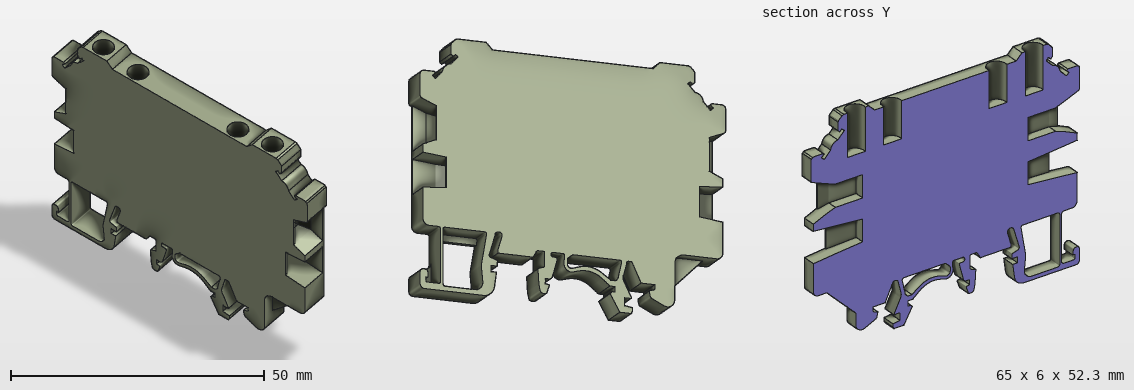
import cadquery as cq
import math


HALF_LENGTH = 32.5
HEIGHT = 52.31
THICKNESS = 6.0

SIDE_X = 31.9
TOP_Z = 50.9
SHOULDER_Z = 45.1
BOTTOM_Z = 13.3
CORE_Z = 10.7
CORNER_RADIUS = 1.3

HOLE_DIAMETER = 4.3
HOLE_OFFSETS = (12.7, 21.5)
HOLE_Y = 2.6
HOLE_DEPTH = 10.0

BACK_WALL = 0.5
ENTRY_END_X = 20.0
UPPER_RECESS_X = 29.0
UPPER_THROAT_X = 26.6
UPPER_MOUTH_Z = (39.2, 29.9)
UPPER_RECESS_Z = (38.05, 31.15)
UPPER_THROAT_Z = (37.15, 32.0)
LOWER_RECESS_X = 26.95
LOWER_MOUTH_Z = (28.2, 21.0)
LOWER_RECESS_Z = (27.75, 21.5)
LOWER_THROAT_Z = (27.15, 22.1)
FUNNEL_Y = (0.4, THICKNESS - BACK_WALL)
THROAT_Y = (0.85, 4.3)

FOOT_BOTTOM_Z = 0.2
FOOT_BAR = 1.0
WINDOW_BOTTOM_Z = FOOT_BOTTOM_Z + FOOT_BAR
WINDOW_RIGHT_X = -18.3
FOOT_WALL_OUTER_X = -28.2
FOOT_WALL_INNER_X = -27.6
LEDGE_Z = 11.9

HOOK_X = 21.65
HOOK_SHELF_Z = 6.5

WEB_THICKNESS = 1.0
WEB_OVERLAP = 0.3
RIGHT_GUSSET_Y = (THICKNESS - WEB_THICKNESS) / 2
RIGHT_GUSSET_LOW_Z = 6.5
RIGHT_GUSSET_END_X = 28.6


def rounded_wire(corners):
    """Closed wire in the XZ plane through corners (x, z) or (x, z, fillet radius)."""
    count = len(corners)
    runs = []
    for i, corner in enumerate(corners):
        point = cq.Vector(corner[0], 0, corner[1])
        if len(corner) < 3:
            runs.append((point,))
            continue
        radius = corner[2]
        before, after = corners[i - 1], corners[(i + 1) % count]
        to_before = (cq.Vector(before[0], 0, before[1]) - point).normalized()
        to_after = (cq.Vector(after[0], 0, after[1]) - point).normalized()
        half_angle = to_before.getAngle(to_after) / 2
        tangent = radius / math.tan(half_angle)
        middle = radius / math.sin(half_angle) - radius
        bisector = (to_before + to_after).normalized()
        runs.append((point + to_before * tangent, point + bisector * middle, point + to_after * tangent))

    edges = []
    for i, run in enumerate(runs):
        if len(run) == 3:
            edges.append(cq.Edge.makeThreePointArc(*run))
        edges.append(cq.Edge.makeLine(run[-1], runs[(i + 1) % count][0]))
    return cq.Wire.assembleEdges(edges)


def plate(corners, y_start=0.0, y_end=THICKNESS):
    """Plate of the given XZ outline between two Y positions."""
    solid = cq.Solid.extrudeLinear(rounded_wire(corners), [], cq.Vector(0, y_end - y_start, 0))
    return cq.Workplane("XY").newObject([solid.translate(cq.Vector(0, y_start, 0))])


SHOULDER = [
    (17.1, TOP_Z),
    (18.5, HEIGHT),
    (24.55, HEIGHT),
    (25.0, 52.15),
    (25.8, 51.3),
    (25.95, 51.0),
    (25.95, 49.05),
    (25.5, 48.6),
    (24.95, 49.05),
    (24.45, 48.6),
    (26.0, 47.0),
    (27.35, 46.85, 1.9),
    (27.75, 45.3),
    (29.25, 43.65),
    (29.85, 44.2),
    (29.2, 44.8),
    (29.55, SHOULDER_Z),
    (31.65, SHOULDER_Z),
    (32.1, 45.0),
    (32.4, 44.7),
    (HALF_LENGTH, 44.3),
    (HALF_LENGTH, 39.45, 0.6),
    (SIDE_X, UPPER_MOUTH_Z[0]),
]

LEFT_FOOT = [
    (-SIDE_X, BOTTOM_Z, CORNER_RADIUS),
    (FOOT_WALL_OUTER_X, BOTTOM_Z, 0.4),
    (FOOT_WALL_OUTER_X, 1.6, 0.4),
    (-31.3, 1.6, 0.3),
    (-31.3, 2.65),
    (-30.85, 2.65),
    (-30.85, 4.3, 0.75),
    (-HALF_LENGTH, 4.3, 0.75),
    (-HALF_LENGTH, FOOT_BOTTOM_Z, 0.9),
    (-16.95, FOOT_BOTTOM_Z, 2.4),
    (-16.25, 5.3),
    (-17.4, 5.3),
    (-17.4, 6.55),
    (-16.1, 6.55),
    (-16.1, 7.75, 0.2),
    (-17.95, 8.3, 0.5),
    (-16.35, 13.6, 0.65),
    (-14.85, 13.6, 0.65),
    (-15.9, 10.1),
]

LEFT_CLIP = [
    (-15.9, 9.25),
    (-8.5, 9.25),
    (-7.6, CORE_Z, 0.2),
    (-6.05, CORE_Z, 0.2),
    (-6.05, 7.55),
    (-7.45, 7.0, 0.2),
    (-7.25, 3.85),
    (-6.9, 2.05, 0.7),
    (-5.6, 2.05, 0.3),
    (-4.95, 3.95, 0.2),
    (-5.85, 4.1),
    (-5.85, 5.15),
    (-4.5, 5.15, 0.8),
    (-3.25, 9.75, 0.35),
    (-4.65, 9.75, 0.4),
    (-4.65, CORE_Z, 0.4),
]

RIGHT_CLIP = [
    (-1.8, CORE_Z, 0.3),
    (-2.0, 6.6, 1.5),
    (4.0, 8.3, 5.5),
    (7.85, 5.15),
    (8.95, 5.15),
    (8.95, 4.05),
    (8.35, 4.05),
    (7.9, 3.6),
    (9.95, 0.0),
    (12.4, 0.0),
    (12.7, 0.5),
    (12.7, 1.25),
    (11.0, 1.5),
    (11.0, 3.1),
    (12.55, 3.1, 0.15),
    (10.6, 7.0, 1.5),
    (11.55, CORE_Z, 0.4),
    (12.5, CORE_Z, 0.3),
]

RIGHT_HOOK = [
    (14.5, HOOK_SHELF_Z),
    (17.4, HOOK_SHELF_Z),
    (17.4, 5.5, 0.2),
    (16.2, 5.1, 0.2),
    (16.5, 3.7, 0.7),
    (HOOK_X, 1.35, 1.6),
    (HOOK_X, BOTTOM_Z, 2.0),
    (SIDE_X, BOTTOM_Z, CORNER_RADIUS),
]

FOOT_WINDOW = [
    (FOOT_WALL_INNER_X, BOTTOM_Z, 0.4),
    (WINDOW_RIGHT_X, BOTTOM_Z, 0.4),
    (-19.5, 6.3),
    (-19.0, WINDOW_BOTTOM_Z, 1.7),
    (FOOT_WALL_INNER_X, WINDOW_BOTTOM_Z, 0.4),
]

SPRING_SLOT = [
    (-1.2, 9.65, 0.8),
    (-0.05, CORE_Z),
    (10.45, CORE_Z, 0.4),
    (9.45, 6.35, 0.9),
    (8.1, 6.35),
    (3.9, 9.2, 5.5),
    (-1.1, 7.6, 0.8),
]


def housing():
    """Full-thickness outline with the foot window and the slot above the spring arm."""
    left_shoulder = [(-x, z, *radius) for x, z, *radius in SHOULDER]
    underside = LEFT_FOOT + LEFT_CLIP + RIGHT_CLIP + RIGHT_HOOK
    outline = left_shoulder + underside + SHOULDER[::-1]
    return plate(outline).cut(plate(FOOT_WINDOW)).cut(plate(SPRING_SLOT))


def webs():
    """Thin webs: the window ledge and left gusset at the back face, the right gusset at mid thickness."""
    ledge_left = FOOT_WALL_INNER_X - WEB_OVERLAP
    ledge_right = WINDOW_RIGHT_X + WEB_OVERLAP
    ledge_top = BOTTOM_Z + WEB_OVERLAP
    ledge = [
        (ledge_left, ledge_top),
        (ledge_right, ledge_top),
        (ledge_right, LEDGE_Z),
        (ledge_left, LEDGE_Z),
    ]
    wall_x = FOOT_WALL_OUTER_X + WEB_OVERLAP
    web_bottom = WINDOW_BOTTOM_Z - WEB_OVERLAP
    left_gusset = [
        (wall_x, 7.2),
        (FOOT_WALL_OUTER_X, 7.2),
        (FOOT_WALL_OUTER_X, 6.43, 1.1),
        (-31.7, 4.28),
        (-31.7, web_bottom),
        (wall_x, web_bottom),
    ]
    hook_inside = HOOK_X - WEB_OVERLAP
    right_gusset = [
        (hook_inside, RIGHT_GUSSET_LOW_Z - WEB_OVERLAP),
        (RIGHT_GUSSET_END_X, BOTTOM_Z),
        (RIGHT_GUSSET_END_X, BOTTOM_Z + WEB_OVERLAP),
        (hook_inside, BOTTOM_Z + WEB_OVERLAP),
    ]
    back = THICKNESS - WEB_THICKNESS
    return (
        plate(ledge, back)
        .union(plate(left_gusset, back))
        .union(plate(right_gusset, RIGHT_GUSSET_Y, RIGHT_GUSSET_Y + WEB_THICKNESS))
    )


def cross_section(x, y_range, z_range):
    """Rectangle at a given X, from its Y and Z limits."""
    corners = [
        cq.Vector(x, y_range[0], z_range[0]),
        cq.Vector(x, y_range[1], z_range[0]),
        cq.Vector(x, y_range[1], z_range[1]),
        cq.Vector(x, y_range[0], z_range[1]),
    ]
    return cq.Wire.makePolygon(corners, close=True)


def wire_entry(recess_x, mouth_z, recess_z, throat_x, throat_z):
    """Right-hand entry: flared recess, tapering funnel, then a straight pocket to the entry end."""
    recess = plate(
        [
            (SIDE_X, mouth_z[0]),
            (recess_x, recess_z[0]),
            (recess_x, recess_z[1]),
            (SIDE_X, mouth_z[1]),
        ],
        0.0,
        THICKNESS - BACK_WALL,
    )
    funnel_mouth = cross_section(recess_x, FUNNEL_Y, recess_z)
    throat = cross_section(throat_x, THROAT_Y, throat_z)
    entry = recess.union(cq.Workplane("XY").newObject([cq.Solid.makeLoft([funnel_mouth, throat], True)]))
    if throat_x > ENTRY_END_X:
        pocket = cq.Solid.extrudeLinear(throat, [], cq.Vector(ENTRY_END_X - throat_x, 0, 0))
        entry = entry.union(cq.Workplane("XY").newObject([pocket]))
    return entry


def screw_hole(x):
    """Blind hole bored down from the top edge."""
    return (
        cq.Workplane("XY", origin=(x, HOLE_Y, HEIGHT - HOLE_DEPTH))
        .circle(HOLE_DIAMETER / 2)
        .extrude(HOLE_DEPTH)
    )


part = housing().union(webs())

upper_entry = wire_entry(UPPER_RECESS_X, UPPER_MOUTH_Z, UPPER_RECESS_Z, UPPER_THROAT_X, UPPER_THROAT_Z)
lower_entry = wire_entry(LOWER_RECESS_X, LOWER_MOUTH_Z, LOWER_RECESS_Z, ENTRY_END_X, LOWER_THROAT_Z)
for entry in (upper_entry, lower_entry):
    part = part.cut(entry).cut(entry.mirror("YZ"))

for offset in HOLE_OFFSETS:
    for x in (-offset, offset):
        part = part.cut(screw_hole(x))

result = part